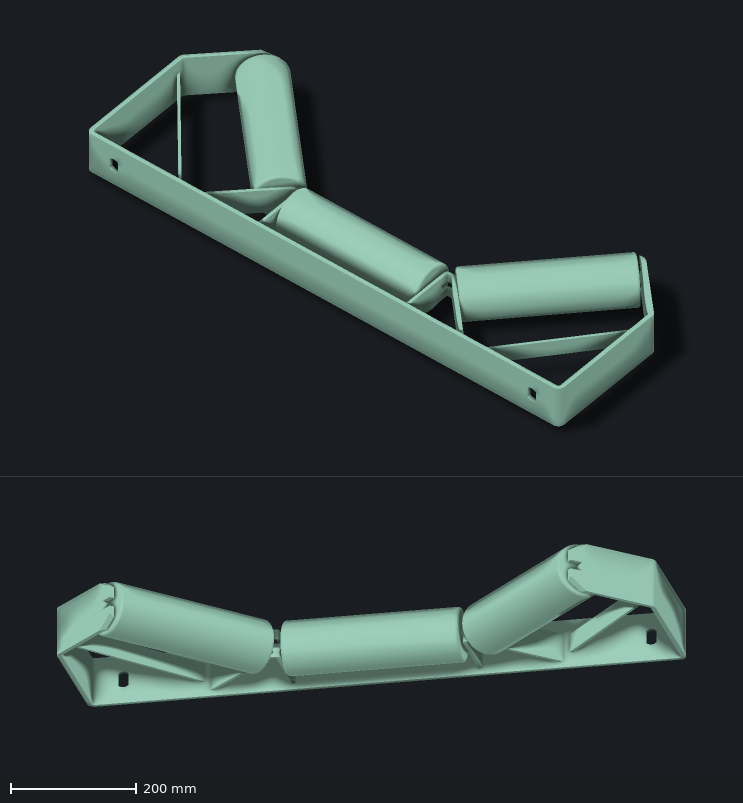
import cadquery as cq
import math

frame_length = 980.0
frame_depth = 351.0
bar_height = 80.0
bar_thickness = 8.0
bar_bend_radius = 5.0
wing_bend_y = 238.0
mount_hole_height = 26.0
mount_hole_width = 18.0
mount_hole_x = 432.0

roller_radius = 44.6
roller_length = 290.0
roller_edge_radius = 5.0
axle_radius = 10.3
axle_flat_thickness = 15.0
centre_roller_y = 101.0
wing_axle_z = bar_height / 2
bracket_axle_z = 33.0
side_roller_x = 286.0
side_roller_y = 219.0

bracket_thickness = 6.0
bracket_bend_radius = 2.0
bracket_height = 47.0
bracket_top_y = 129.0
bracket_inner_x = 150.0
bridge_length = 18.0

brace_thickness = 5.0
brace_height = 30.0
brace_front_x = 298.0
brace_side_y = 227.0

corner_cut_y = 22.0
corner_cut_z = 20.0

diagonal = math.sqrt(2)
half_length = frame_length / 2

wing_outer_sum = half_length + wing_bend_y
bridge_outer_x = bracket_inner_x + bridge_length
leg_outer_sum = bridge_outer_x + bracket_top_y
leg_inner_sum = leg_outer_sum - bracket_thickness * diagonal

side_roller_sum = side_roller_x + side_roller_y
wing_reach = (wing_outer_sum - side_roller_sum) / diagonal
leg_reach = (side_roller_sum - leg_inner_sum) / diagonal
wing_mid_reach = wing_reach - bar_thickness / 2
leg_mid_reach = leg_reach - bracket_thickness / 2
axis_rise = (wing_axle_z - bracket_axle_z) / (wing_mid_reach + leg_mid_reach)
side_roller_z = bracket_axle_z + axis_rise * leg_mid_reach
side_tilt = math.degrees(math.atan(axis_rise))

centre_reach = bracket_inner_x + bracket_thickness


def mirrored(body):
    return body.mirror("YZ")


def offset_points(points, distance):
    """Points of the mitred polyline lying the given distance to the left of an open polyline."""
    headings = []
    for start, end in zip(points, points[1:]):
        headings.append(math.atan2(end[1] - start[1], end[0] - start[0]))
    before = [headings[0]] + headings
    after = headings + [headings[-1]]
    moved = []
    for (x, y), first, second in zip(points, before, after):
        bisector = (first + second) / 2
        reach = distance / math.cos((second - first) / 2)
        moved.append((x - reach * math.sin(bisector), y + reach * math.cos(bisector)))
    return moved


def folded_strip(outer, thickness, bend_radius, height):
    """Strip standing on Z = 0, its outer face along the polyline and its material on the left."""
    inner = offset_points(outer, thickness)
    strip = cq.Workplane("XY").polyline(outer + inner[::-1]).close().extrude(height)
    for points, radius in ((outer, bend_radius + thickness), (inner, bend_radius)):
        for x, y in points[1:-1]:
            bend_edge = cq.selectors.NearestToPointSelector((x, y, height / 2))
            strip = strip.edges(bend_edge).fillet(radius)
    return strip


def corner_cutter(end_y, low_z, high_z):
    """Two long prisms along X that trim the lower and upper corners of a plate ending at end_y."""
    cutter = cq.Workplane("YZ")
    for edge_z, inward in ((low_z, 1), (high_z, -1)):
        triangle = [(end_y - corner_cut_y, edge_z), (end_y, edge_z), (end_y, edge_z + inward * corner_cut_z)]
        cutter = cutter.polyline(triangle).close()
    return cutter.extrude(half_length, both=True)


def axle(start, end):
    """Round bar along X with a flat above and below."""
    bar = cq.Workplane("YZ", origin=(start, 0, 0)).circle(axle_radius).extrude(end - start)
    flats = cq.Workplane("XY").box(4 * frame_length, 2 * axle_radius, axle_flat_thickness)
    return bar.intersect(flats)


def axle_slot(start, end, opening):
    """Space for an axle that drops in along -Y from an opening at the given distance."""
    way_in = cq.Workplane("XY").box(end - start, opening, axle_flat_thickness, centered=(False, False, True))
    return axle(start, end).union(way_in.translate((start, 0, 0)))


def roller(left_reach, right_reach):
    """Roller about the X axis, centred on the origin, with axle ends reaching to both supports."""
    drum = cq.Workplane("YZ", origin=(-roller_length / 2, 0, 0)).circle(roller_radius).extrude(roller_length)
    drum = drum.edges("%CIRCLE").fillet(roller_edge_radius)
    return drum.union(axle(-left_reach, right_reach))


def place_centre(body):
    return body.translate((0, centre_roller_y, bracket_axle_z))


def place_left(body):
    """Tilt and turn a body from the X axis onto the left roller's axis, its -X end at the wing."""
    body = body.rotate((0, 0, 0), (0, 1, 0), side_tilt)
    body = body.rotate((0, 0, 0), (0, 0, 1), -45)
    return body.translate((-side_roller_x, side_roller_y, side_roller_z))


def mount_hole():
    """Round hole along Y, narrowed by an upright flat on each side."""
    hole = cq.Workplane("XZ").circle(mount_hole_height / 2).extrude(2 * bar_thickness, both=True)
    flats = cq.Workplane("XY").box(mount_hole_width, 4 * bar_thickness, mount_hole_height)
    return hole.intersect(flats)


def make_frame():
    wing_run = frame_depth - wing_bend_y
    tip_x = half_length - wing_run
    outer = [
        (-tip_x, frame_depth),
        (-half_length, wing_bend_y),
        (-half_length, 0),
        (half_length, 0),
        (half_length, wing_bend_y),
        (tip_x, frame_depth),
    ]
    frame = folded_strip(outer, bar_thickness, bar_bend_radius, bar_height)
    frame = frame.cut(corner_cutter(frame_depth, 0, bar_height))
    for side in (-1, 1):
        frame = frame.cut(mount_hole().translate((side * mount_hole_x, 0, bar_height / 2)))
    wing_slot = place_left(axle_slot(-wing_reach - bar_thickness, -wing_reach + 2 * bar_thickness, frame_depth))
    return frame.cut(wing_slot).cut(mirrored(wing_slot))


def make_left_bracket():
    outer = [
        (-bracket_inner_x, 0),
        (-bracket_inner_x, bracket_top_y),
        (-bridge_outer_x, bracket_top_y),
        (-leg_outer_sum, 0),
    ]
    bracket = folded_strip(outer, bracket_thickness, bracket_bend_radius, bracket_height)
    bracket = bracket.translate((0, 0, bracket_axle_z - bracket_height / 2))
    front_wall = cq.Workplane("XY").box(2 * frame_length, 2 * bar_thickness, 3 * bar_height)
    upright_slot = place_centre(axle_slot(-bridge_outer_x, -bracket_inner_x, bracket_top_y))
    leg_slot = place_left(axle_slot(leg_reach - 2 * bracket_thickness, leg_reach + bracket_thickness, bracket_top_y))
    return bracket.cut(front_wall).cut(upright_slot).cut(leg_slot)


def make_left_brace():
    front_y = bar_thickness
    side_x = half_length - bar_thickness
    slope = math.atan2(brace_side_y - front_y, side_x - brace_front_x)
    outline = [
        (-brace_front_x, front_y),
        (-side_x, brace_side_y),
        (-side_x, brace_side_y - brace_thickness / math.cos(slope)),
        (-brace_front_x - brace_thickness / math.sin(slope), front_y),
    ]
    low_z = (bar_height - brace_height) / 2
    return cq.Workplane("XY", origin=(0, 0, low_z)).polyline(outline).close().extrude(brace_height)


frame = make_frame()
centre_roller = place_centre(roller(centre_reach, centre_reach))
left_roller = place_left(roller(wing_reach, leg_reach))
left_bracket = make_left_bracket()
left_brace = make_left_brace()

bodies = [frame.val(), centre_roller.val()]
for left_body in (left_roller, left_bracket, left_brace):
    bodies.append(left_body.val())
    bodies.append(mirrored(left_body).val())

result = cq.Compound.makeCompound(bodies)